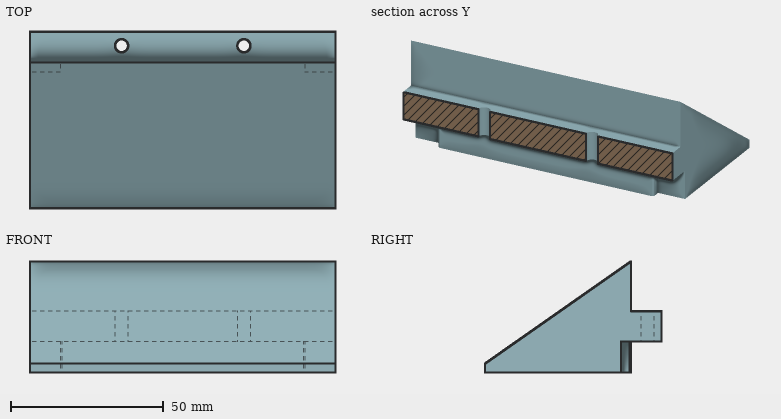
import cadquery as cq
import math

length = 100.0
body_depth = 47.8
lip_height = 3.0
slope_angle = 35.0
body_height = lip_height + body_depth * math.tan(math.radians(slope_angle))

flange_depth = 10.0
flange_thickness = 10.0
flange_bottom = 10.2
flange_top = flange_bottom + flange_thickness

hole_diameter = 4.2
hole_spacing = 40.0
hole_edge_distance = 4.6

setback = 3.2
pad_length = 80.0
pad_chamfer = 0.5

back_y = body_depth
setback_y = back_y - setback
flange_back_y = back_y + flange_depth


def make_body():
    """Extrude the side outline along X, centred on the origin."""
    outline = [
        (0, 0),
        (setback_y, 0),
        (setback_y, flange_bottom),
        (flange_back_y, flange_bottom),
        (flange_back_y, flange_top),
        (back_y, flange_top),
        (back_y, body_height),
        (0, lip_height),
    ]
    return cq.Workplane("YZ").polyline(outline).close().extrude(length / 2, both=True)


def make_pad():
    """Block filling the setback below the flange, with chamfered back corners."""
    pad = cq.Workplane("XY").box(pad_length, setback, flange_bottom, centered=(True, False, False))
    pad = pad.edges("|Z and >Y").chamfer(pad_chamfer)
    return pad.translate((0, setback_y, 0))


def make_screw_holes():
    """Vertical cylinders for the two screw holes."""
    hole_y = flange_back_y - hole_edge_distance
    return (
        cq.Workplane("XY", origin=(0, hole_y, flange_bottom))
        .rarray(hole_spacing, 1, 2, 1)
        .circle(hole_diameter / 2)
        .extrude(flange_thickness)
    )


result = make_body().union(make_pad()).cut(make_screw_holes())